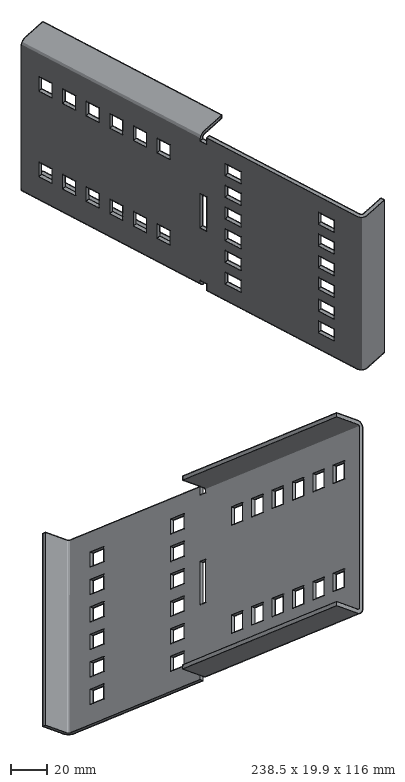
import cadquery as cq

length = 238.5
depth = 19.95
height = 116.0
thickness = 2.5
inner_radius = 1.5
outer_radius = inner_radius + thickness

side_flange_length = 125.0
relief_width = 4.5
relief_depth = 5.0
slot_height = 26.0

hole_short = 9.0
hole_long = 11.0
hole_pitch = 16.5
holes_per_line = 6
line_spacing = 65.0
first_hole_x = 17.0
inner_line_x = 148.0

relief_centre_x = side_flange_length + relief_width / 2
end_half_start = side_flange_length + relief_width


def through_cutter(x, z, width, tall):
    """Rectangular cutter through the web, centred at (x, z)."""
    return cq.Workplane("XY").box(width, 2 * depth, tall).translate((x, 0, z))


def side_flanged_half():
    """Channel along X: the web with a flange bent back at top and bottom."""
    channel = cq.Workplane("XY").box(side_flange_length, depth, height, centered=(False, False, True))
    channel = channel.edges("|X and <Y").fillet(outer_radius)
    inside = (
        cq.Workplane("XY")
        .box(side_flange_length, depth, height - 2 * thickness, centered=(False, False, True))
        .translate((0, thickness, 0))
        .edges("|X and <Y")
        .fillet(inner_radius)
    )
    return channel.cut(inside)


def end_flanged_half():
    """Angle along Z: the web with one flange bent back at its far end."""
    half_length = length - end_half_start
    angle = cq.Workplane("XY").box(half_length, depth, height, centered=(False, False, True))
    angle = angle.edges("|Z and >X and <Y").fillet(outer_radius)
    inside = (
        cq.Workplane("XY")
        .box(half_length - thickness, depth, height, centered=(False, False, True))
        .translate((0, thickness, 0))
        .edges("|Z and >X and <Y")
        .fillet(inner_radius)
    )
    return angle.cut(inside).translate((end_half_start, 0, 0))


def relief_bridge():
    """Web strip joining the halves, notched at both edges and slotted in the middle."""
    bridge_height = height - 2 * relief_depth
    bridge = (
        cq.Workplane("XY")
        .box(relief_width, thickness, bridge_height, centered=(True, False, True))
        .translate((relief_centre_x, 0, 0))
    )
    return bridge.cut(through_cutter(relief_centre_x, 0, relief_width, slot_height))


def punch_holes(body):
    """Two rows along X in the side-flanged half, two columns along Z in the end-flanged half."""
    for i in range(holes_per_line):
        row_x = first_hole_x + i * hole_pitch
        column_z = (i - (holes_per_line - 1) / 2) * hole_pitch
        for row_z in (-line_spacing / 2, line_spacing / 2):
            body = body.cut(through_cutter(row_x, row_z, hole_short, hole_long))
        for column_x in (inner_line_x, inner_line_x + line_spacing):
            body = body.cut(through_cutter(column_x, column_z, hole_long, hole_short))
    return body


plate = side_flanged_half().union(relief_bridge()).union(end_flanged_half())
result = punch_holes(plate)